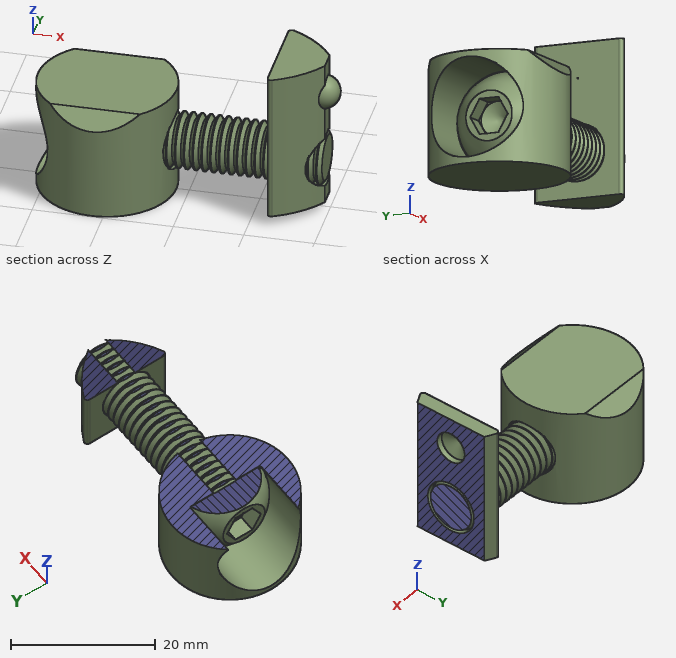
import cadquery as cq
import math


housing_diameter = 19.7
housing_height = 15.9
housing_radius = housing_diameter / 2
top_flat_width = 15.0
top_chamfer = (housing_diameter - top_flat_width) / 2
head_bore_radius = 7.08
bolt_hole_radius = 4.25
bolt_height = housing_height / 2

shank_length = 30.0
thread_count = 24
thread_pitch = shank_length / thread_count
thread_diameter = 8.0
crest_radius = thread_diameter / 2
root_radius = 3.3
crest_width = thread_pitch / 8
head_diameter = 14.0
head_radius = head_diameter / 2
head_height = 4.4
head_flat_radius = 3.55
head_dome_radius = 7.25
socket_across_flats = 5.0
socket_turn = 30.0
socket_depth = 2.6
socket_tip_angle = 120.0

nut_length = 22.0
nut_top = 23.5
nut_depth = 7.0
nut_end = 41.0
nut_back = nut_end - nut_depth
nut_back_half_width = 7.1
nut_end_half_width = 1.45
nut_side_radius = 15.0
nut_corner_radius = 0.5
nut_hole_radius = 4.07

ball_radius = 2.4
ball_tip = 42.9
ball_x = ball_tip - ball_radius
ball_height = 18.5
pocket_tip_angle = 120.0
pocket_break_through = 0.05

bolt_end = nut_end
head_seat = bolt_end - shank_length
head_face = head_seat - head_height


def cone_height(base_radius, tip_angle):
    """Height of a cone whose full angle at the tip is given in degrees."""
    return base_radius / math.tan(math.radians(tip_angle / 2))


def rod_along_x(radius, start, end, height):
    """Round rod parallel to X from start to end, at the given Z."""
    return (
        cq.Workplane("YZ", origin=(start, 0, height))
        .circle(radius)
        .extrude(end - start)
    )


def revolve_along_x(outline, height):
    """Close an outline of (X, radius) and revolve it about an axis parallel to X at the given Z."""
    return outline.close().revolve(360, (0, 0, 0), (1, 0, 0)).translate((0, 0, height))


def make_housing():
    body = (
        cq.Workplane("XY")
        .center(housing_radius, 0)
        .circle(housing_radius)
        .extrude(housing_height)
    )
    for side in (-1, 1):
        corner = (
            cq.Workplane("YZ")
            .moveTo(side * housing_radius, housing_height)
            .lineTo(side * top_flat_width / 2, housing_height)
            .lineTo(side * housing_radius, housing_height - top_chamfer)
            .close()
            .extrude(housing_diameter)
        )
        body = body.cut(corner)
    head_bore = rod_along_x(head_bore_radius, 0, head_seat, bolt_height)
    bolt_hole = rod_along_x(bolt_hole_radius, 0, housing_diameter, bolt_height)
    return body.cut(head_bore).cut(bolt_hole)


def make_shank():
    """Shank whose thread is a row of equal rings, each one pitch wide from root to root."""
    outline = cq.Workplane("XY").moveTo(head_seat, 0).lineTo(head_seat, root_radius)
    for ring in range(thread_count):
        ring_start = head_seat + ring * thread_pitch
        ring_middle = ring_start + thread_pitch / 2
        outline = (
            outline.lineTo(ring_middle - crest_width / 2, crest_radius)
            .lineTo(ring_middle + crest_width / 2, crest_radius)
            .lineTo(ring_start + thread_pitch, root_radius)
        )
    return revolve_along_x(outline.lineTo(bolt_end, 0), bolt_height)


def make_head():
    outline = (
        cq.Workplane("XY")
        .moveTo(head_face, 0)
        .lineTo(head_face, head_flat_radius)
        .radiusArc((head_seat, head_radius), head_dome_radius)
        .lineTo(head_seat, 0)
    )
    return revolve_along_x(outline, bolt_height)


def make_socket():
    """Hex recess with two corners on the Y axis and a conical bottom."""
    hex_recess = (
        cq.Workplane("YZ", origin=(head_face, 0, bolt_height))
        .transformed(rotate=(0, 0, socket_turn))
        .polygon(6, socket_across_flats, circumscribed=True)
        .extrude(socket_depth)
    )
    floor = head_face + socket_depth
    tip = floor + cone_height(socket_across_flats / 2, socket_tip_angle)
    cone_outline = (
        cq.Workplane("XY")
        .moveTo(floor, 0)
        .lineTo(floor, socket_across_flats / 2)
        .lineTo(tip, 0)
    )
    cone = revolve_along_x(cone_outline, bolt_height)
    return hex_recess.union(cone)


def make_bolt():
    return make_shank().union(make_head()).cut(make_socket())


def make_ball_pocket():
    """Drilled hole from the nut's end whose conical tip just pierces the back face."""
    tip = nut_back - pocket_break_through
    cone_start = tip + cone_height(ball_radius, pocket_tip_angle)
    outline = (
        cq.Workplane("XY")
        .moveTo(tip, 0)
        .lineTo(cone_start, ball_radius)
        .lineTo(nut_end, ball_radius)
        .lineTo(nut_end, 0)
    )
    return revolve_along_x(outline, ball_height)


def make_nut():
    bar = (
        cq.Workplane("XY", origin=(0, 0, nut_top - nut_length))
        .moveTo(nut_back, -nut_back_half_width)
        .lineTo(nut_back, nut_back_half_width)
        .radiusArc((nut_end, nut_end_half_width), nut_side_radius)
        .lineTo(nut_end, -nut_end_half_width)
        .radiusArc((nut_back, -nut_back_half_width), nut_side_radius)
        .close()
        .extrude(nut_length)
        .edges("|Z and <X")
        .fillet(nut_corner_radius)
    )
    bolt_hole = rod_along_x(nut_hole_radius, nut_back, nut_end, bolt_height)
    return bar.cut(bolt_hole).cut(make_ball_pocket())


def make_ball():
    return cq.Workplane("XY").sphere(ball_radius).translate((ball_x, 0, ball_height))


housing = make_housing()
bolt = make_bolt()
nut = make_nut()
ball = make_ball()

result = cq.Compound.makeCompound([housing.val(), bolt.val(), nut.val(), ball.val()])